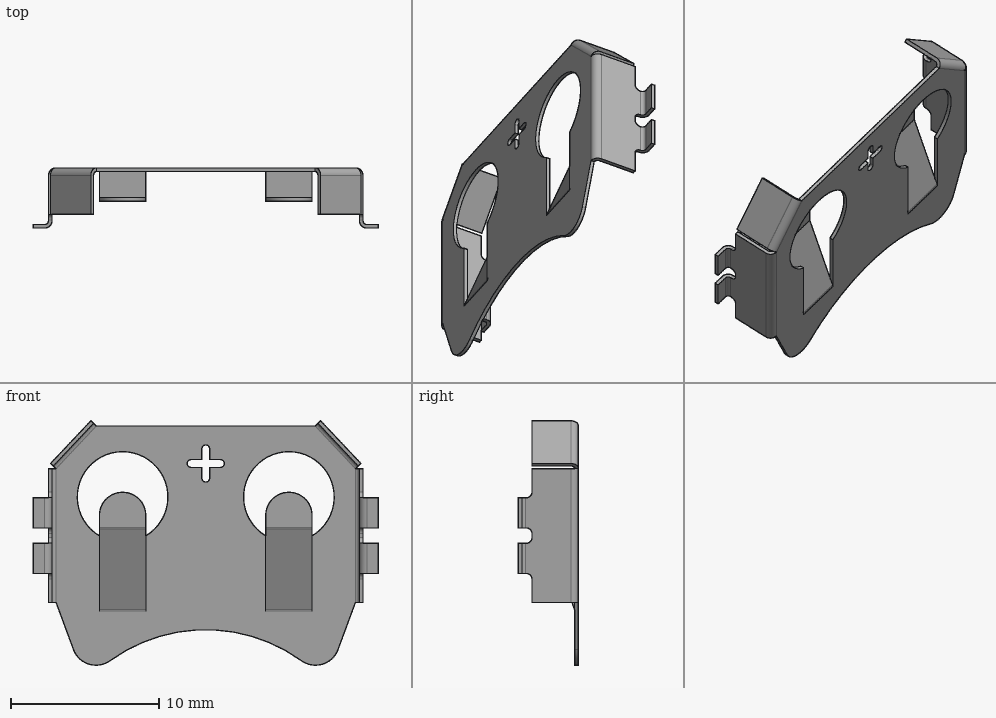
import cadquery as cq
import math


sheet = 0.25
inner_bend = 0.25
outer_bend = inner_bend + sheet
half_width = 11.62
total_depth = 4.07

wall_face_x = 10.6
wall_bend_x = wall_face_x - outer_bend
wall_bottom = 4.23
wall_top = 13.25
top_edge_x = 7.37
top_edge_z = 16.13
lobe_x = 7.4
lobe_radius = 1.63
bottom_arc_top = 2.4

flange_depth = 3.14
foot_width = 2.05
foot_pitch = 3.07
foot_root_radius = 0.37

window_x = 5.6
window_z = 11.35
window_radius = 3.05
tongue_width = 3.14
tongue_root_z = 3.72
tongue_bend_z = 9.23
tongue_tip_z = 11.67
tongue_depth = 2.25
tongue_root_radius = 0.28

plus_z = 13.6
plus_length = 2.49
plus_width = 0.5


def on_circle(center_x, center_z, radius, angle):
    return center_x + radius * math.cos(angle), center_z + radius * math.sin(angle)


def nearest_to(x, y, z):
    return cq.selectors.NearestToPointSelector((x, y, z))


def make_plate():
    rise = bottom_arc_top - lobe_radius
    arc_radius = (lobe_x**2 + rise**2 - lobe_radius**2) / (2 * bottom_arc_top)
    arc_center_z = bottom_arc_top - arc_radius
    inner_angle = math.atan2(arc_center_z - lobe_radius, -lobe_x)
    lobe_inner = on_circle(lobe_x, lobe_radius, lobe_radius, inner_angle)

    arc_end_angle = inner_angle + math.pi
    arc_top_angle = math.pi / 2
    arc_middle = on_circle(0, arc_center_z, arc_radius, (arc_end_angle + arc_top_angle) / 2)

    corner_dx = wall_bend_x - lobe_x
    corner_dz = wall_bottom - lobe_radius
    corner_distance = math.hypot(corner_dx, corner_dz)
    outer_angle = math.atan2(corner_dz, corner_dx) - math.acos(lobe_radius / corner_distance)
    lobe_outer = on_circle(lobe_x, lobe_radius, lobe_radius, outer_angle)

    half = (
        cq.Workplane("XZ")
        .moveTo(0, top_edge_z)
        .lineTo(top_edge_x, top_edge_z)
        .lineTo(wall_bend_x, wall_top)
        .lineTo(wall_bend_x, wall_bottom)
        .lineTo(*lobe_outer)
        .threePointArc((lobe_x, 0), lobe_inner)
        .threePointArc(arc_middle, (0, bottom_arc_top))
        .close()
        .extrude(sheet)
    )
    return half.union(half.mirror("YZ"))


def make_flange(bend_plane, length):
    """Quarter bend followed by a straight leg; local x points outward, local y is +Y."""
    diagonal = math.sqrt(0.5)
    return (
        cq.Workplane(bend_plane)
        .moveTo(0, 0)
        .threePointArc(
            (outer_bend * diagonal, outer_bend * (diagonal - 1)),
            (outer_bend, -outer_bend),
        )
        .lineTo(outer_bend, -flange_depth)
        .lineTo(inner_bend, -flange_depth)
        .lineTo(inner_bend, -outer_bend)
        .threePointArc(
            (inner_bend * diagonal, inner_bend * diagonal - outer_bend),
            (0, -sheet),
        )
        .close()
        .extrude(length)
    )


def make_corner_flange():
    run = wall_bend_x - top_edge_x
    rise = top_edge_z - wall_top
    bend_plane = cq.Plane(
        origin=(wall_bend_x, 0, wall_top),
        xDir=(rise, 0, run),
        normal=(-run, 0, rise),
    )
    return make_flange(bend_plane, math.hypot(run, rise))


def make_side_wall():
    wall_height = wall_top - wall_bottom
    wall = make_flange(cq.Plane(origin=(wall_bend_x, 0, wall_bottom)), wall_height)

    wall_inside_x = wall_face_x - sheet
    foot_strip = (
        cq.Workplane("XY", origin=(0, 0, wall_bottom))
        .moveTo(wall_inside_x, -flange_depth)
        .lineTo(wall_inside_x, -total_depth)
        .lineTo(half_width, -total_depth)
        .lineTo(half_width, sheet - total_depth)
        .lineTo(wall_face_x, sheet - total_depth)
        .lineTo(wall_face_x, -flange_depth)
        .close()
        .extrude(wall_height)
    )
    wall_middle = (wall_bottom + wall_top) / 2
    outside_corner = nearest_to(wall_inside_x, -total_depth, wall_middle)
    inside_corner = nearest_to(wall_face_x, sheet - total_depth, wall_middle)
    foot_strip = foot_strip.edges("|Z").edges(outside_corner).fillet(outer_bend)
    foot_strip = foot_strip.edges("|Z").edges(inside_corner).fillet(inner_bend)
    wall = wall.union(foot_strip)

    middle_gap_height = foot_pitch - foot_width
    end_gap_height = wall_height
    end_gap_offset = (foot_pitch + foot_width + end_gap_height) / 2
    gaps = (
        (wall_middle - end_gap_offset, end_gap_height),
        (wall_middle, middle_gap_height),
        (wall_middle + end_gap_offset, end_gap_height),
    )
    for gap_z, gap_height in gaps:
        cutter = (
            cq.Workplane("XY")
            .box(2 * half_width, total_depth, gap_height)
            .edges("|X and >Y")
            .fillet(foot_root_radius)
            .translate((half_width, -flange_depth - total_depth / 2, gap_z))
        )
        wall = wall.cut(cutter)
    return wall


def make_window():
    """Round window joined to the slot the tongue is bent out of."""
    window = (
        cq.Workplane("XZ")
        .center(window_x, window_z)
        .circle(window_radius)
        .extrude(sheet)
    )
    slot_height = window_z - tongue_root_z
    slot = (
        cq.Workplane("XZ")
        .center(window_x, tongue_root_z + slot_height / 2)
        .rect(tongue_width, slot_height)
        .extrude(sheet)
    )
    return window.union(slot)


def make_tongue():
    """Strip leaning out of the plate and ending in an upright round tip."""
    lean = math.atan2(tongue_depth - sheet, tongue_bend_z - tongue_root_z)
    miter = sheet * math.tan(lean / 2)
    root_below = tongue_root_z - outer_bend
    strip = (
        cq.Workplane("YZ", origin=(window_x - tongue_width / 2, 0, 0))
        .moveTo(0, root_below)
        .lineTo(-sheet, root_below)
        .lineTo(-sheet, tongue_root_z)
        .lineTo(-tongue_depth, tongue_bend_z)
        .lineTo(-tongue_depth, tongue_tip_z)
        .lineTo(sheet - tongue_depth, tongue_tip_z)
        .lineTo(sheet - tongue_depth, tongue_bend_z + miter)
        .lineTo(0, tongue_root_z + miter)
        .close()
        .extrude(tongue_width)
    )

    bends = (
        (-sheet, tongue_root_z, tongue_root_radius),
        (0, tongue_root_z + miter, tongue_root_radius + sheet),
        (-tongue_depth, tongue_bend_z, sheet),
    )
    for bend_y, bend_z, bend_radius in bends:
        strip = strip.edges("|X").edges(nearest_to(window_x, bend_y, bend_z)).fillet(bend_radius)

    tip_radius = tongue_width / 2
    tip_center_z = tongue_tip_z - tip_radius
    tip_limit = (
        cq.Workplane("XZ")
        .moveTo(window_x - tip_radius, root_below)
        .lineTo(window_x + tip_radius, root_below)
        .lineTo(window_x + tip_radius, tip_center_z)
        .threePointArc((window_x, tongue_tip_z), (window_x - tip_radius, tip_center_z))
        .close()
        .extrude(total_depth)
    )
    return strip.intersect(tip_limit)


def make_plus_cut():
    plus = cq.Workplane("XZ").center(0, plus_z).slot2D(plus_length, plus_width).extrude(sheet)
    upright = cq.Workplane("XZ").center(0, plus_z).slot2D(plus_length, plus_width, 90).extrude(sheet)
    return plus.union(upright)


window = make_window()
plate = make_plate().cut(make_plus_cut()).cut(window).cut(window.mirror("YZ"))

result = plate
for feature in (make_corner_flange(), make_side_wall(), make_tongue()):
    result = result.union(feature).union(feature.mirror("YZ"))